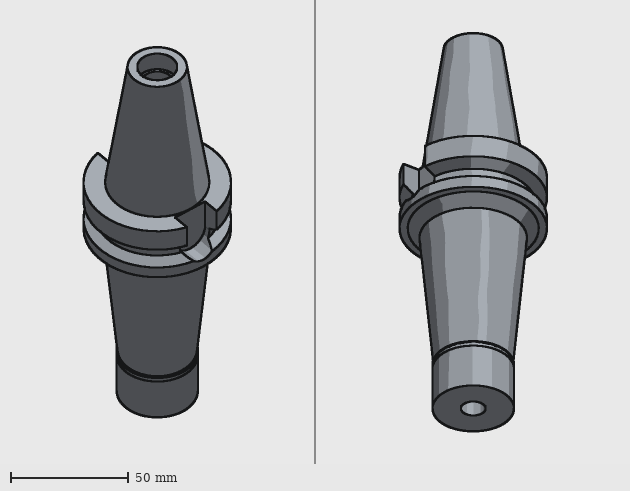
import cadquery as cq

total_length = 185.4
nut_length = 20.5
nut_radius = 17.5

collar_length = 2.0
neck_radius = 16.9
neck_length = 0.5
neck_bottom_z = nut_length + collar_length
body_end_radius = 17.0
body_end_z = neck_bottom_z + neck_length
body_top_radius = 23.0
body_top_z = 88.0

flange_radius = 31.5
shoulder_radius = 28.0
groove_radius = 26.7
flange_bottom_z = 93.0
lower_ring_top_z = 98.6
groove_bottom_z = 101.2
groove_top_z = 105.7
upper_ring_bottom_z = 108.8
flange_top_z = 119.4

taper_length = 65.5
taper_base_radius = 22.2
taper_slope = 7 / 24
taper_base_z = total_length - taper_length
taper_top_radius = taper_base_radius - taper_length * taper_slope / 2

slot_width = 16.3
slot_floor_x = 22.5
slot_bottom_z = 97.0

through_radius = 5.28
thread_radius = 7.0
thread_depth = 29.7
pilot_radius = 8.5
pilot_depth = 8.9


def vertical_cylinder(radius, bottom_z, top_z):
    """Solid cylinder on the Z axis between two heights."""
    return cq.Workplane("XY").workplane(offset=bottom_z).circle(radius).extrude(top_z - bottom_z)


def drive_slot(side):
    """Cutter for a slot with a half-round lower end; side is -1 or +1 along X."""
    slot_radius = slot_width / 2
    arc_center_z = slot_bottom_z + slot_radius
    return (
        cq.Workplane("YZ", origin=(side * slot_floor_x, 0, 0))
        .moveTo(-slot_radius, flange_top_z)
        .lineTo(-slot_radius, arc_center_z)
        .threePointArc((0, slot_bottom_z), (slot_radius, arc_center_z))
        .lineTo(slot_radius, flange_top_z)
        .close()
        .extrude(side * flange_radius)
    )


def make_holder():
    """Tool holder: end collar, short neck, tapered body, grooved flange and steep taper."""
    profile = [
        (0, nut_length),
        (nut_radius, nut_length),
        (nut_radius, neck_bottom_z),
        (neck_radius, neck_bottom_z),
        (neck_radius, body_end_z),
        (body_end_radius, body_end_z),
        (body_top_radius, body_top_z),
        (shoulder_radius, flange_bottom_z),
        (flange_radius, flange_bottom_z),
        (flange_radius, lower_ring_top_z),
        (groove_radius, groove_bottom_z),
        (groove_radius, groove_top_z),
        (flange_radius, upper_ring_bottom_z),
        (flange_radius, flange_top_z),
        (taper_base_radius, flange_top_z),
        (taper_base_radius, taper_base_z),
        (taper_top_radius, total_length),
        (0, total_length),
    ]
    holder = cq.Workplane("XZ").polyline(profile).close().revolve(360, (0, 0, 0), (0, 1, 0))
    for side in (-1, 1):
        holder = holder.cut(drive_slot(side))
    holder = holder.cut(vertical_cylinder(through_radius, nut_length, total_length))
    holder = holder.cut(vertical_cylinder(thread_radius, total_length - thread_depth, total_length))
    return holder.cut(vertical_cylinder(pilot_radius, total_length - pilot_depth, total_length))


def make_nut():
    """Clamping nut below the holder, with a through hole."""
    nut = vertical_cylinder(nut_radius, 0, nut_length)
    return nut.cut(vertical_cylinder(through_radius, 0, nut_length))


holder = make_holder()
nut = make_nut()
result = cq.Compound.makeCompound([holder.val(), nut.val()])